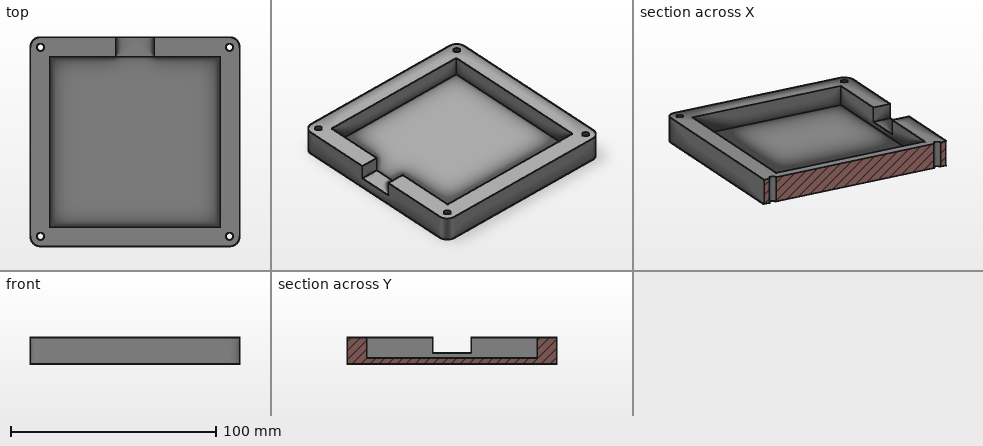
import cadquery as cq

side = 102.0
height = 13.0
corner_radius = 5.0

pocket_side = 83.0
floor_thickness = 3.0

notch_width = 18.5
notch_depth = 7.5

hole_diameter = 3.4
hole_spacing = side - 2 * corner_radius


def make_block():
    """Square block with rounded vertical corners, bottom face at Z = 0."""
    block = cq.Workplane("XY").box(side, side, height, centered=(True, True, False))
    return block.edges("|Z").fillet(corner_radius)


def make_pocket():
    """Sharp-cornered square pocket that leaves a floor under it."""
    pocket = cq.Workplane("XY").workplane(offset=floor_thickness)
    return pocket.rect(pocket_side, pocket_side).extrude(height - floor_thickness)


def make_notch():
    """Rectangular notch from the pocket out through the +Y side."""
    wall = (side - pocket_side) / 2
    notch = cq.Workplane("XY").workplane(offset=height - notch_depth)
    notch = notch.center(0, pocket_side / 2 + wall / 2)
    return notch.rect(notch_width, wall).extrude(notch_depth)


def make_screw_holes():
    """Four through holes at the corners."""
    corners = cq.Workplane("XY").rect(hole_spacing, hole_spacing, forConstruction=True)
    return corners.vertices().circle(hole_diameter / 2).extrude(height)


result = make_block().cut(make_pocket()).cut(make_notch()).cut(make_screw_holes())